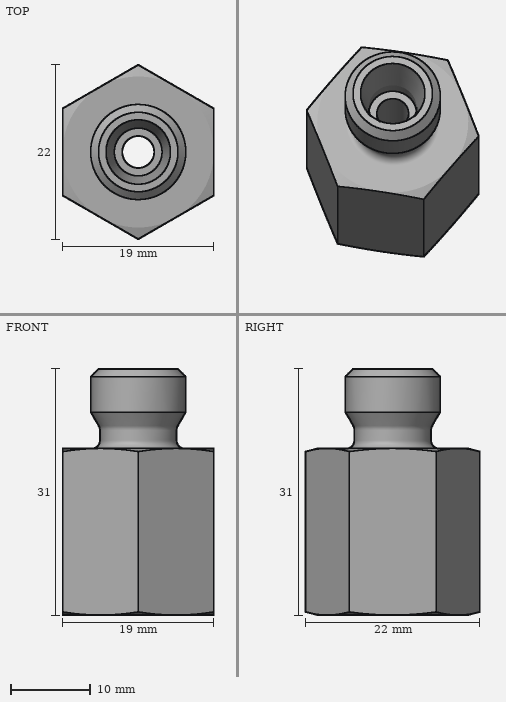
import cadquery as cq
import math

total_height = 31.0
across_flats = 19.03
hex_height = 21.0
corner_chamfer_angle = 15.0

spigot_diameter = 12.0
spigot_chamfer = 1.0
spigot_bottom = 25.58
neck_diameter = 9.7
neck_cone_angle = 30.0
neck_fillet = 1.0

seat_diameter = 8.12
seat_half_angle = 12.0
socket_diameter = 6.0
socket_depth = 7.0
bore_diameter = 4.0


def make_hex_body():
    """Hexagonal prism with both ends turned to a shallow corner chamfer."""
    across_corners = across_flats / math.cos(math.radians(30))
    prism = cq.Workplane("XY").polygon(6, across_corners).extrude(hex_height)
    prism = prism.rotate((0, 0, 0), (0, 0, 1), 30)
    flat_radius = across_flats / 2
    blank_radius = across_corners / 2 + 0.3
    chamfer_drop = (blank_radius - flat_radius) * math.tan(math.radians(corner_chamfer_angle))
    turned_blank = (
        cq.Workplane("XZ")
        .moveTo(0, 0)
        .lineTo(flat_radius, 0)
        .lineTo(blank_radius, chamfer_drop)
        .lineTo(blank_radius, hex_height - chamfer_drop)
        .lineTo(flat_radius, hex_height)
        .lineTo(0, hex_height)
        .close()
        .revolve(360, (0, 0, 0), (0, 1, 0))
    )
    return prism.intersect(turned_blank)


def make_spigot():
    """Turned spigot with a chamfered head and a neck that flares into the hexagon."""
    head_radius = spigot_diameter / 2
    neck_radius = neck_diameter / 2
    cone_angle = math.radians(neck_cone_angle)
    cone_tip = spigot_bottom - (head_radius - neck_radius) / math.tan(cone_angle)

    tangent = neck_fillet * math.tan(cone_angle / 2)
    arc_center = (neck_radius + neck_fillet, cone_tip - tangent)
    blend_middle = (
        arc_center[0] - neck_fillet * math.cos(cone_angle / 2),
        arc_center[1] + neck_fillet * math.sin(cone_angle / 2),
    )
    blend_top = (
        arc_center[0] - neck_fillet * math.cos(cone_angle),
        arc_center[1] + neck_fillet * math.sin(cone_angle),
    )

    flare_offset = neck_fillet * (1 - math.sqrt(0.5))
    flare_middle = (neck_radius + flare_offset, hex_height + flare_offset)

    return (
        cq.Workplane("XZ")
        .moveTo(0, hex_height)
        .lineTo(neck_radius + neck_fillet, hex_height)
        .threePointArc(flare_middle, (neck_radius, hex_height + neck_fillet))
        .lineTo(neck_radius, arc_center[1])
        .threePointArc(blend_middle, blend_top)
        .lineTo(head_radius, spigot_bottom)
        .lineTo(head_radius, total_height - spigot_chamfer)
        .lineTo(head_radius - spigot_chamfer, total_height)
        .lineTo(0, total_height)
        .close()
        .revolve(360, (0, 0, 0), (0, 1, 0))
    )


def make_bore():
    """Tapered seat leading to a stepped socket and a bore right through."""
    seat_radius = seat_diameter / 2
    socket_radius = socket_diameter / 2
    bore_radius = bore_diameter / 2
    seat_depth = (seat_radius - socket_radius) / math.tan(math.radians(seat_half_angle))
    socket_floor = total_height - socket_depth
    return (
        cq.Workplane("XZ")
        .moveTo(0, 0)
        .lineTo(bore_radius, 0)
        .lineTo(bore_radius, socket_floor)
        .lineTo(socket_radius, socket_floor)
        .lineTo(socket_radius, total_height - seat_depth)
        .lineTo(seat_radius, total_height)
        .lineTo(0, total_height)
        .close()
        .revolve(360, (0, 0, 0), (0, 1, 0))
    )


result = make_hex_body().union(make_spigot()).cut(make_bore())